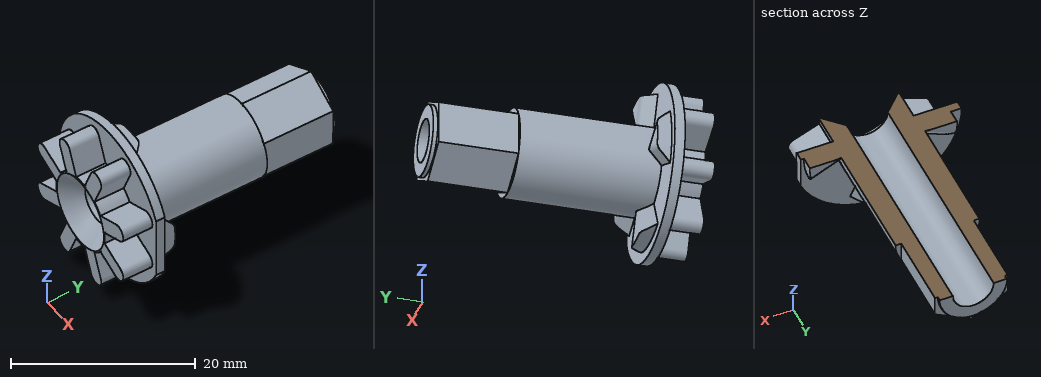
import cadquery as cq
import math


FLANGE_RADIUS = 10.0
FLANGE_THICKNESS = 1.15
FLANGE_FLAT_X = 9.1

SHAFT_DIAMETER = 10.0
SHAFT_LENGTH = 16.0
HEX_ACROSS_CORNERS = SHAFT_DIAMETER
HEX_LENGTH = 9.0
SPIGOT_DIAMETER = 8.0
SPIGOT_LENGTH = 0.5

HUB_DIAMETER = 9.6
HUB_HEIGHT = 3.8
RIB_COUNT = 8
RIB_WIDTH = 2.1
RIB_LENGTH = 9.0
RIB_CORNER_RADIUS = 1.0

BORE_DIAMETER = 4.8
COUNTERSINK_DIAMETER = 9.2
COUNTERSINK_ANGLE = 90.0

TOOTH_COUNT = 4
TOOTH_HEIGHT = 1.6
TOOTH_OUTER_RADIUS = 8.75
TOOTH_BASE_HALF_WIDTH = 3.25
TOOTH_FLANK_TAPER = 25.0
TOOTH_FLANK_SLOPE = 45.0
TOOTH_EDGE_RADIUS = 1.0

FRONT_Y = -FLANGE_THICKNESS - HUB_HEIGHT
HEX_START_Y = SHAFT_LENGTH
SPIGOT_START_Y = HEX_START_Y + HEX_LENGTH
END_Y = SPIGOT_START_Y + SPIGOT_LENGTH


def section_at(y):
    """Sketch plane across the axis at height y, with local x = X, local y = Z and normal -Y."""
    return cq.Workplane("XZ", origin=(0, y, 0))


def cylinder(diameter, start_y, end_y):
    return section_at(end_y).circle(diameter / 2).extrude(end_y - start_y)


def make_flange():
    disc = cylinder(2 * FLANGE_RADIUS, -FLANGE_THICKNESS, 0)
    side = 2 * FLANGE_RADIUS
    kept_block = cq.Workplane("XY").box(side, side, side).translate((FLANGE_FLAT_X - FLANGE_RADIUS, 0, 0))
    return disc.intersect(kept_block)


def make_shaft():
    round_part = cylinder(SHAFT_DIAMETER, -FLANGE_THICKNESS, HEX_START_Y)
    hexagon = (
        section_at(SPIGOT_START_Y)
        .transformed(rotate=(0, 0, 90))
        .polygon(6, HEX_ACROSS_CORNERS)
        .extrude(HEX_LENGTH)
    )
    spigot = cylinder(SPIGOT_DIAMETER, SPIGOT_START_Y, END_Y)
    return round_part.union(hexagon).union(spigot)


def make_ribbed_hub():
    hub = cylinder(HUB_DIAMETER, FRONT_Y, -FLANGE_THICKNESS)
    rib = (
        section_at(-FLANGE_THICKNESS)
        .center(RIB_LENGTH / 2, 0)
        .rect(RIB_LENGTH, RIB_WIDTH)
        .extrude(HUB_HEIGHT)
        .edges("|Y and >X")
        .fillet(RIB_CORNER_RADIUS)
    )
    pitch = 360 / RIB_COUNT
    for index in range(RIB_COUNT):
        hub = hub.union(rib.rotate((0, 0, 0), (0, 1, 0), (index + 0.5) * pitch))
    return hub


def make_flank_prism():
    """Prism whose sloped, rounded side is the +Z flank of the tooth pointing along +X."""
    length = 4 * TOOTH_OUTER_RADIUS
    depth = 2 * TOOTH_OUTER_RADIUS
    crest_z = -TOOTH_HEIGHT / math.tan(math.radians(TOOTH_FLANK_SLOPE))
    prism = (
        cq.Workplane("YZ", origin=(-length / 2, 0, 0))
        .polyline([(0, 0), (TOOTH_HEIGHT, crest_z), (TOOTH_HEIGHT, -depth), (0, -depth)])
        .close()
        .extrude(length)
        .edges(cq.selectors.NearestToPointSelector((0, TOOTH_HEIGHT, crest_z)))
        .fillet(TOOTH_EDGE_RADIUS)
    )
    base_corner_x = math.sqrt(TOOTH_OUTER_RADIUS**2 - TOOTH_BASE_HALF_WIDTH**2)
    turned = prism.rotate((0, 0, 0), (0, 1, 0), -TOOTH_FLANK_TAPER)
    return turned.translate((base_corner_x, 0, TOOTH_BASE_HALF_WIDTH))


def make_tooth():
    """Wedge-shaped tooth along +X: the overlap of two mirrored flanks inside the outer cylinder."""
    flank = make_flank_prism()
    outer_disc = cylinder(2 * TOOTH_OUTER_RADIUS, 0, TOOTH_HEIGHT)
    return outer_disc.intersect(flank).intersect(flank.mirror("XY"))


def make_bore():
    radius = BORE_DIAMETER / 2
    mouth_radius = COUNTERSINK_DIAMETER / 2
    depth = (mouth_radius - radius) / math.tan(math.radians(COUNTERSINK_ANGLE / 2))
    half_profile = [
        (0, FRONT_Y),
        (mouth_radius, FRONT_Y),
        (radius, FRONT_Y + depth),
        (radius, END_Y),
        (0, END_Y),
    ]
    return (
        cq.Workplane("XY")
        .polyline(half_profile)
        .close()
        .revolve(360, (0, 0, 0), (0, 1, 0))
    )


body = make_flange().union(make_shaft()).union(make_ribbed_hub())
tooth = make_tooth()
for index in range(TOOTH_COUNT):
    body = body.union(tooth.rotate((0, 0, 0), (0, 1, 0), index * 360 / TOOTH_COUNT))

result = body.cut(make_bore())